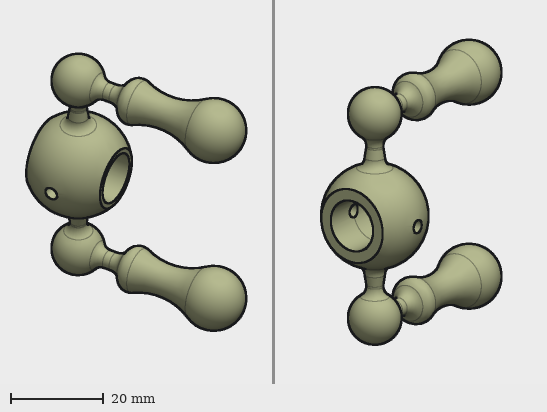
import cadquery as cq
import math

hub_radius = 11.65
hub_left = -8.2
hub_right = 9.4
bore_radius = 5.7
cross_hole_radius = 1.45

elbow_radius = 5.8
elbow_height = 23.3

stem_base = 13.35
stem_base_radius = 2.25
stem_taper_end = 15.65
stem_top = 16.1
stem_top_radius = 1.9

neck_start = 7.2
neck_end = 8.85
neck_radius = 2.05
bead_start = 11.9
bead_start_radius = 4.0
bead_crest = 13.7
bead_crest_radius = 5.2
bead_end = 15.05
waist = 21.75
waist_radius = 3.7
knob_center = 33.8
knob_radius = 7.05


def ball_blend(center, ball_radius, start, start_radius):
    """Blend arc leaving a rod parallel to its axis and meeting a ball tangentially.

    Returns the arc's middle point, its point on the ball and its radius,
    with points as (position along the axis, distance from the axis).
    """
    reach = start - center
    blend = (reach**2 + start_radius**2 - ball_radius**2) / (2 * (ball_radius - start_radius))
    arc_center = (start, start_radius + blend)
    sweep = math.atan2(abs(reach), arc_center[1])
    side = math.copysign(1, -reach)

    def arc_point(angle):
        along = arc_center[0] + side * blend * math.sin(angle)
        return (along, arc_center[1] - blend * math.cos(angle))

    return arc_point(sweep / 2), arc_point(sweep), blend


def make_hub():
    ball = cq.Workplane("XY").sphere(hub_radius)
    slab = cq.Workplane("YZ").workplane(offset=hub_left).circle(2 * hub_radius)
    return ball.intersect(slab.extrude(hub_right - hub_left))


def make_stem():
    """Upper stem, revolved about Z; its ends run into the hub and the elbow."""
    hub_mid, hub_point, _ = ball_blend(0, hub_radius, stem_base, stem_base_radius)
    elbow_mid, elbow_point, _ = ball_blend(elbow_height, elbow_radius, stem_top, stem_top_radius)

    def radial(point):
        return (point[1], point[0])

    return (
        cq.Workplane("XZ")
        .moveTo(0, hub_point[0])
        .lineTo(*radial(hub_point))
        .threePointArc(radial(hub_mid), (stem_base_radius, stem_base))
        .lineTo(stem_top_radius, stem_taper_end)
        .lineTo(stem_top_radius, stem_top)
        .threePointArc(radial(elbow_mid), radial(elbow_point))
        .lineTo(0, elbow_point[0])
        .close()
        .revolve(360, (0, 0, 0), (0, 1, 0))
    )


def make_handle():
    """Handle with its elbow ball, revolved about X through the origin."""
    elbow_mid, elbow_point, _ = ball_blend(0, elbow_radius, neck_start, neck_radius)
    knob_mid, knob_point, waist_curve = ball_blend(knob_center, knob_radius, waist, waist_radius)

    def grip_point(along):
        drop = math.sqrt(waist_curve**2 - (waist - along) ** 2)
        return (along, waist_radius + waist_curve - drop)

    blend_run = bead_start - neck_end
    blend_rise = bead_start_radius - neck_radius
    blend_radius = (blend_run**2 + blend_rise**2) / (2 * blend_rise)
    half_sweep = math.asin(blend_run / blend_radius) / 2
    neck_blend_mid = (
        neck_end + blend_radius * math.sin(half_sweep),
        neck_radius + blend_radius * (1 - math.cos(half_sweep)),
    )
    knob_top = (knob_center, knob_radius)
    return (
        cq.Workplane("XY")
        .moveTo(-elbow_radius, 0)
        .threePointArc((0, elbow_radius), elbow_point)
        .threePointArc(elbow_mid, (neck_start, neck_radius))
        .lineTo(neck_end, neck_radius)
        .threePointArc(neck_blend_mid, (bead_start, bead_start_radius))
        .threePointArc((bead_crest, bead_crest_radius), grip_point(bead_end))
        .threePointArc(grip_point((bead_end + waist) / 2), (waist, waist_radius))
        .threePointArc(knob_mid, knob_point)
        .threePointArc(knob_top, (knob_center + knob_radius, 0))
        .close()
        .revolve(360, (0, 0, 0), (1, 0, 0))
    )


arm = make_stem().union(make_handle().translate((0, 0, elbow_height)))
lower_arm = arm.mirror("XY")
bore = cq.Workplane("YZ").circle(bore_radius).extrude(2 * hub_radius, both=True)
cross_hole = cq.Workplane("XZ").circle(cross_hole_radius).extrude(2 * hub_radius, both=True)

result = make_hub().union(arm).union(lower_arm).cut(bore).cut(cross_hole)